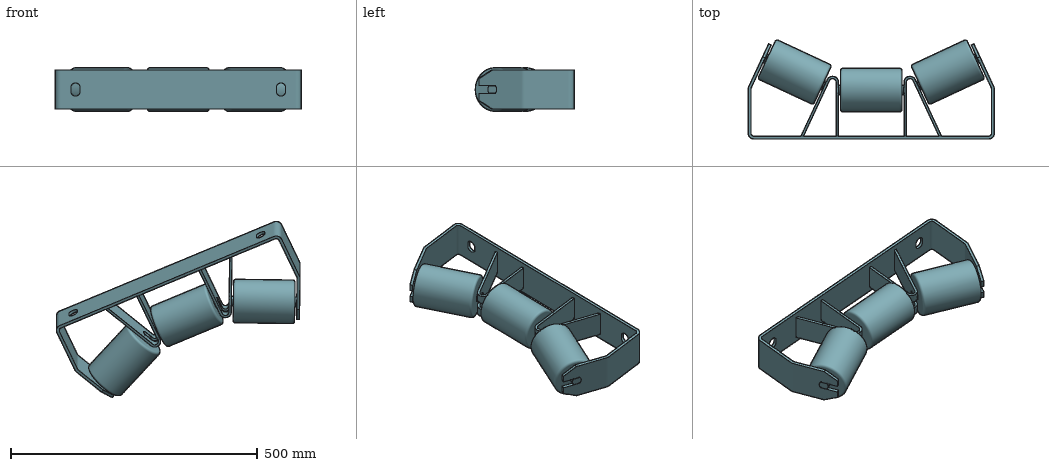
import cadquery as cq
import math

frame_length = 500.0
frame_height = 80.0
frame_strip = 6.0
corner_radius = 12.0
elbow_radius = 15.0
elbow_y = 104.0
arm_tip_y = 193.5
taper_length = 29.0
taper_drop = 17.0
mount_slot_width = 18.5
mount_slot_height = 26.5
mount_slot_spacing = 417.0

tilt = 25.0
drum_diameter = 89.0
drum_length = 125.0
drum_fillet = 5.0
shaft_diameter = 20.0
flat_width = 15.0
slot_width = 16.0
flat_overrun = 1.0
drum_gap = 4.0
middle_roller_y = 99.5
side_roller_y = 136.0

support_strip = 5.0
support_height = 55.0
support_bend_radius = 12.0
support_top_y = 127.5

tilt_sin = math.sin(math.radians(tilt))
tilt_cos = math.cos(math.radians(tilt))
frame_left = -frame_length / 2
arm_tip_x = frame_left + (arm_tip_y - elbow_y) * tilt_sin / tilt_cos
upright_face_x = -(drum_length / 2 + drum_gap)
bend_x = upright_face_x - support_bend_radius
bend_y = support_top_y - support_bend_radius
bend_sweep = 180 - tilt

arm_face = frame_left * tilt_cos - elbow_y * tilt_sin
leaning_face = bend_x * tilt_cos - bend_y * tilt_sin - support_bend_radius
side_drum_middle = (arm_face + frame_strip + leaning_face) / 2
side_gap = (leaning_face - arm_face - frame_strip - drum_length) / 2
strip_offset = drum_length / 2 + side_gap
side_roller_x = (side_drum_middle + side_roller_y * tilt_sin) / tilt_cos


def mirrored(body):
    return body.mirror("YZ")


def on_side_axis(body):
    """Move a body built along X about the origin onto the left roller's axis."""
    turned = body.rotate((0, 0, 0), (0, 0, 1), -tilt)
    return turned.translate((side_roller_x, side_roller_y, 0))


def on_middle_axis(body):
    return body.translate((0, middle_roller_y, 0))


def round_bar(diameter, start, end):
    """Cylinder along X from start to end."""
    return cq.Workplane("YZ").workplane(offset=start).circle(diameter / 2).extrude(end - start)


def flattened_bar(width, start, end):
    """Shaft along X from start to end, cut to the given width across two flats."""
    flats = cq.Workplane("XY").box(frame_length, shaft_diameter, width)
    return round_bar(shaft_diameter, start, end).intersect(flats)


def shaft_slot(start, end, depth):
    """Slot with its rounded bottom around the X axis, open towards +Y for the given depth."""
    opening = (
        cq.Workplane("XY")
        .box(end - start, depth, slot_width, centered=(False, False, True))
        .translate((start, 0, 0))
    )
    return flattened_bar(slot_width, start, end).union(opening)


def make_roller(left_strip, right_strip, gap):
    """Roller along X whose shaft ends finish flush with the far faces of the strips beside it."""
    drum = round_bar(drum_diameter, -drum_length / 2, drum_length / 2).edges().fillet(drum_fillet)
    strip_face = drum_length / 2 + gap
    round_end = strip_face - flat_overrun
    round_shaft = round_bar(shaft_diameter, -round_end, round_end)
    flat_shaft = flattened_bar(flat_width, -strip_face - left_strip, strip_face + right_strip)
    return drum.union(round_shaft).union(flat_shaft)


def make_half_frame():
    """Left half of the frame, from the middle of its base to its arm's end."""
    inner_elbow_y = elbow_y - frame_strip * math.tan(math.radians(tilt / 2))
    inner_left = frame_left + frame_strip
    outline = [
        (0, 0),
        (frame_left, 0),
        (frame_left, elbow_y),
        (arm_tip_x, arm_tip_y),
        (arm_tip_x + frame_strip * tilt_cos, arm_tip_y - frame_strip * tilt_sin),
        (inner_left, inner_elbow_y),
        (inner_left, frame_strip),
        (0, frame_strip),
    ]
    half = cq.Workplane("XY").polyline(outline).close().extrude(frame_height / 2, both=True)
    bends = [
        (frame_left, 0, corner_radius),
        (inner_left, frame_strip, corner_radius - frame_strip),
        (frame_left, elbow_y, elbow_radius),
        (inner_left, inner_elbow_y, elbow_radius - frame_strip),
    ]
    for x, y, radius in bends:
        half = half.edges("|Z").edges(cq.NearestToPointSelector((x, y, 0))).fillet(radius)
    return half.cut(make_arm_tapers()).cut(make_arm_slot()).cut(make_mount_slot())


def make_arm_tapers():
    """The two corner wedges removed from the arm's end."""
    top = frame_height / 2
    arm_plane = cq.Plane(
        origin=(arm_tip_x, arm_tip_y, 0), xDir=(tilt_sin, tilt_cos, 0), normal=(-tilt_cos, tilt_sin, 0)
    )
    upper = (
        cq.Workplane(arm_plane)
        .polyline([(-taper_length, top), (0, top), (0, top - taper_drop)])
        .close()
        .extrude(frame_strip, both=True)
    )
    return upper.union(upper.mirror("XY"))


def make_arm_slot():
    """Slot for the side roller's outer shaft end, open at the arm's tip."""
    return on_side_axis(shaft_slot(-strip_offset - frame_strip, -strip_offset, arm_tip_y - elbow_y))


def make_mount_slot():
    """Upright slot through the base for a mounting bolt."""
    return (
        cq.Workplane("XZ")
        .center(-mount_slot_spacing / 2, 0)
        .slot2D(mount_slot_height, mount_slot_width, 90)
        .extrude(-frame_strip)
    )


def bend_point(radius, angle):
    """Point on the support's bend, its angle counted from the upright leg's side."""
    turn = math.radians(angle)
    return (bend_x + radius * math.cos(turn), bend_y + radius * math.sin(turn))


def leaning_foot(radius):
    """Where the leaning leg's face, tangent to the bend at this radius, meets the base."""
    x, y = bend_point(radius, bend_sweep)
    return (x - (y - frame_strip) * tilt_sin / tilt_cos, frame_strip)


def make_support():
    """Left support, with one shaft slot in each leg, both running out through the bend."""
    inner_radius = support_bend_radius - support_strip
    support = (
        cq.Workplane("XY")
        .moveTo(upright_face_x, frame_strip)
        .lineTo(*bend_point(support_bend_radius, 0))
        .threePointArc(
            bend_point(support_bend_radius, bend_sweep / 2), bend_point(support_bend_radius, bend_sweep)
        )
        .lineTo(*leaning_foot(support_bend_radius))
        .lineTo(*leaning_foot(inner_radius))
        .lineTo(*bend_point(inner_radius, bend_sweep))
        .threePointArc(bend_point(inner_radius, bend_sweep / 2), bend_point(inner_radius, 0))
        .lineTo(upright_face_x - support_strip, frame_strip)
        .close()
        .extrude(support_height / 2, both=True)
    )
    upright_slot = on_middle_axis(
        shaft_slot(upright_face_x - support_strip, upright_face_x, bend_y - middle_roller_y)
    )
    leaning_slot = on_side_axis(
        shaft_slot(strip_offset, strip_offset + support_strip, support_bend_radius)
    )
    bend_slot = (
        cq.Workplane("XY")
        .box(2 * support_bend_radius, support_bend_radius, slot_width, centered=(True, False, True))
        .translate((bend_x, bend_y, 0))
    )
    return support.cut(upright_slot).cut(leaning_slot).cut(bend_slot)


left_half = make_half_frame()
frame = left_half.union(mirrored(left_half))

left_support = make_support()
supports = [left_support, mirrored(left_support)]

middle_roller = on_middle_axis(make_roller(support_strip, support_strip, drum_gap))
left_roller = on_side_axis(make_roller(frame_strip, support_strip, side_gap))
rollers = [left_roller, middle_roller, mirrored(left_roller)]

result = cq.Compound.makeCompound([body.val() for body in [frame, *supports, *rollers]])